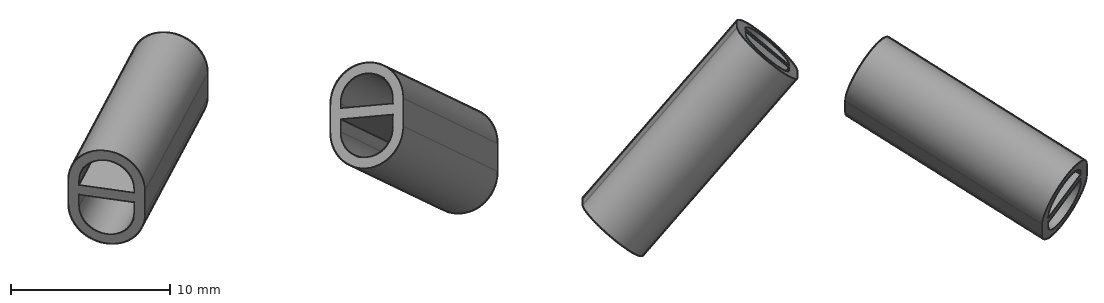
import cadquery as cq

length = 15.0
width = 5.0
height = 6.8
wall = 0.7
web_center_z = 0.25


def obround_bar(bar_width, bar_height):
    """Solid bar along Y with an upright obround section, centred on the origin."""
    return (
        cq.Workplane("XZ")
        .slot2D(bar_height, bar_width, 90)
        .extrude(length / 2, both=True)
    )


outer = obround_bar(width, height)
bore = obround_bar(width - 2 * wall, height - 2 * wall)
tube = outer.cut(bore)

web = cq.Workplane("XY").box(width - wall, length, wall).translate((0, 0, web_center_z))

result = tube.union(web)